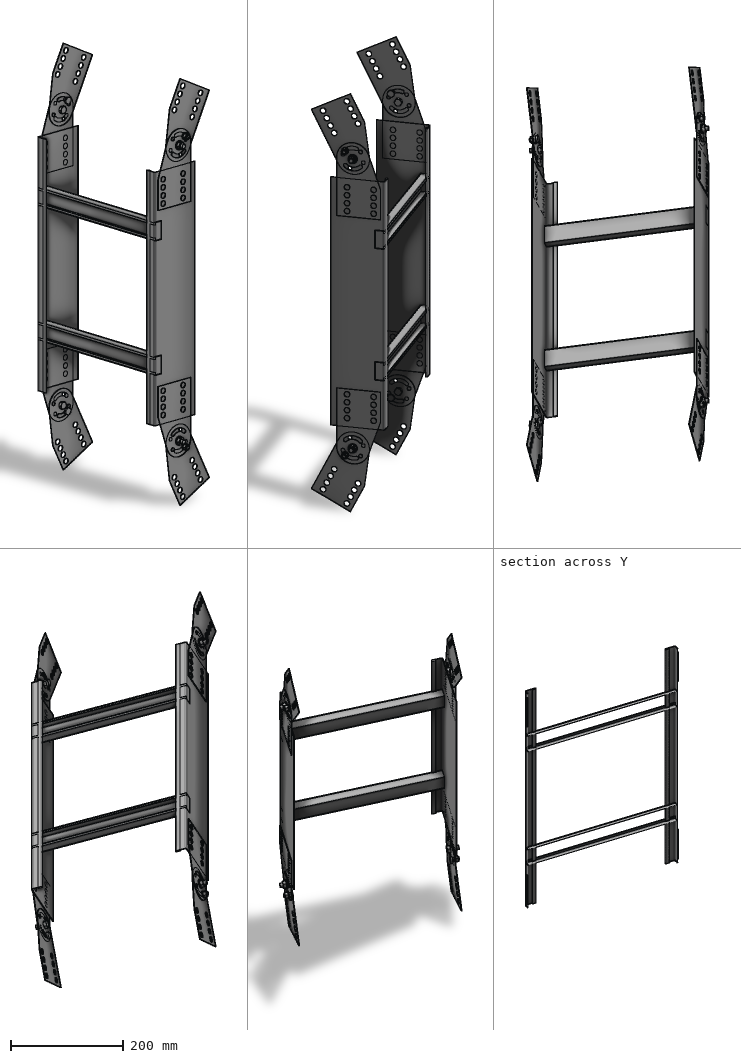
import cadquery as cq
import math

height = 794.5
depth = 136.0
width = 329.0
rail_sheet = 1.5
plate_sheet = 1.5

rail_length = 472.0
rail_depth = 100.0
rail_span = 300.0
flange_width = 21.5
bend_radius = 3.0
hem_radius = 1.8
hem_width = 8.0

rung_spacing = 250.0
rung_height = 36.0
rung_depth = 17.5
rung_lip = 5.7
rung_corner = 1.75

pivot_radius = 30.0
plate_reach = 111.0
plate_side = 51.0
plate_side_length = 57.0
hinge_angle = 27.0

plate_hole = 10.0
hole_pitch = 15.0
hole_count = 4
end_hole_inset = 10.0
hole_columns = (11.0, -38.0)

swing_radius = 20.0
lock_hole = 7.0
slot_width = 7.0
lock_angle = 45.0

pivot_shaft = 8.0
pivot_washer = 17.0
pivot_hex = 13.0
pivot_head_height = 5.95
pivot_nut_height = 5.95
lock_shaft = 6.0
lock_washer = 13.0
lock_hex = 10.0
lock_head_diameter = 13.0
lock_head_height = 3.6
lock_nut_height = 5.95
lock_shaft_end = 161.0
washer_height = 1.75

front_y = -depth / 2
web_x = -rail_span / 2
flange_back_y = front_y + rail_sheet
tilt = math.radians(hinge_angle)
pivot_y = depth / 2 - plate_reach * math.sin(tilt) - pivot_radius * math.cos(tilt)
pivot_z = height / 2 - plate_reach * math.cos(tilt) - plate_side * math.sin(tilt)
lock_offset = swing_radius * math.sin(math.radians(lock_angle))


def make_left_rail():
    """L-section sheet whose flange ends in a closed, round-edged hem, extruded along Z."""
    back_y = front_y + rail_depth
    fold_x = web_x + flange_width - hem_radius
    fold_y = front_y + hem_radius
    hem_back_y = front_y + 2 * hem_radius
    hem_x = web_x + flange_width - hem_width
    bend_x = web_x + bend_radius
    bend_y = front_y + bend_radius
    outer_diagonal = bend_radius * math.sqrt(0.5)
    inner_diagonal = (bend_radius - rail_sheet) * math.sqrt(0.5)
    profile = (
        cq.Workplane("XY", origin=(0, 0, -rail_length / 2))
        .moveTo(web_x, back_y)
        .lineTo(web_x, bend_y)
        .threePointArc((bend_x - outer_diagonal, bend_y - outer_diagonal), (bend_x, front_y))
        .lineTo(fold_x, front_y)
        .threePointArc((fold_x + hem_radius, fold_y), (fold_x, hem_back_y))
        .lineTo(hem_x, hem_back_y)
        .lineTo(hem_x, flange_back_y)
        .lineTo(bend_x, flange_back_y)
        .threePointArc((bend_x - inner_diagonal, bend_y - inner_diagonal), (web_x + rail_sheet, bend_y))
        .lineTo(web_x + rail_sheet, back_y)
        .close()
    )
    return profile.extrude(rail_length)


def make_rung(center_z):
    """C-channel between the two webs, seated on the backs of the flanges."""
    length = rail_span - 2 * rail_sheet
    center_y = flange_back_y + rung_depth / 2
    outer = cq.Workplane("XY").box(length, rung_depth, rung_height).edges("|X").fillet(rung_corner)
    hollow = cq.Workplane("XY").box(length, rung_depth - 2 * rail_sheet, rung_height - 2 * rail_sheet)
    opening = cq.Workplane("XY").box(length, rung_depth, rung_height - 2 * rung_lip)
    opening = opening.translate((0, -rung_depth / 2, 0))
    return outer.cut(hollow).cut(opening).translate((0, center_y, center_z))


def make_frame():
    left_rail = make_left_rail()
    frame = left_rail.union(left_rail.mirror("YZ"))
    for side in (-1, 1):
        frame = frame.union(make_rung(side * rung_spacing / 2))
    return frame


def make_plate():
    """Plate with its pivot at the origin, extending toward -Z; its outer face lies in the YZ plane."""
    side_top = plate_side_length - plate_reach
    corner_angle = math.atan2(side_top, -plate_side)
    corner_distance = math.hypot(plate_side, side_top)
    tangent_angle = corner_angle - math.acos(pivot_radius / corner_distance)
    tangent_point = (pivot_radius * math.cos(tangent_angle), pivot_radius * math.sin(tangent_angle))
    arc_middle = tangent_angle % (2 * math.pi) / 2
    arc_point = (pivot_radius * math.cos(arc_middle), pivot_radius * math.sin(arc_middle))
    plate = (
        cq.Workplane("YZ")
        .moveTo(pivot_radius, 0)
        .lineTo(pivot_radius, -plate_reach)
        .lineTo(-plate_side, -plate_reach)
        .lineTo(-plate_side, side_top)
        .lineTo(*tangent_point)
        .threePointArc(arc_point, (pivot_radius, 0))
        .close()
        .extrude(plate_sheet)
    )
    fixing_points = []
    for column_y in hole_columns:
        for row in range(hole_count):
            fixing_points.append((column_y, end_hole_inset + row * hole_pitch - plate_reach))
    fixing_holes = cq.Workplane("YZ").pushPoints(fixing_points).circle(plate_hole / 2).extrude(plate_sheet)
    lock_points = [(lock_offset, lock_offset), (-lock_offset, lock_offset)]
    lock_holes = cq.Workplane("YZ").pushPoints(lock_points).circle(lock_hole / 2).extrude(plate_sheet)
    return plate.cut(fixing_holes).cut(lock_holes).cut(make_swing_slot())


def make_swing_slot():
    """Arc slot around the pivot with round ends."""
    inner = swing_radius - slot_width / 2
    outer = swing_radius + slot_width / 2
    diagonal = math.sin(math.radians(lock_angle))
    slot = (
        cq.Workplane("YZ")
        .moveTo(-outer * diagonal, -outer * diagonal)
        .threePointArc((0, -outer), (outer * diagonal, -outer * diagonal))
        .lineTo(inner * diagonal, -inner * diagonal)
        .threePointArc((0, -inner), (-inner * diagonal, -inner * diagonal))
        .close()
        .extrude(plate_sheet)
    )
    end_points = [(-lock_offset, -lock_offset), (lock_offset, -lock_offset)]
    ends = cq.Workplane("YZ").pushPoints(end_points).circle(slot_width / 2).extrude(plate_sheet)
    return slot.union(ends)


def make_disc(diameter, start_x, end_x):
    return cq.Workplane("YZ", origin=(start_x, 0, 0)).circle(diameter / 2).extrude(end_x - start_x)


def make_hex(across_flats, start_x, end_x):
    """Hexagonal prism along X with two flats facing +Z and -Z and its corners chamfered at both ends."""
    across_corners = across_flats / math.cos(math.pi / 6)
    prism = cq.Workplane("YZ", origin=(start_x, 0, 0)).polygon(6, across_corners).extrude(end_x - start_x)
    corner_chamfer = (across_corners - across_flats) / 2
    trim = make_disc(across_corners, start_x, end_x).faces("|X").chamfer(corner_chamfer)
    return prism.intersect(trim)


def make_pivot_bolt():
    """Bolt along X with its hex head inside the plates, washer and nut outside; x = 0 is the joint."""
    washer_x = -plate_sheet - washer_height
    head = make_hex(pivot_hex, plate_sheet, plate_sheet + pivot_head_height)
    washer = make_disc(pivot_washer, washer_x, -plate_sheet)
    nut = make_hex(pivot_hex, washer_x - pivot_nut_height, washer_x)
    shaft = make_disc(pivot_shaft, -width / 2 - web_x, plate_sheet)
    return shaft.union(head).union(washer).union(nut)


def make_lock_bolt():
    """Bolt along X with its round head inside the plates, washer and nut outside; x = 0 is the joint."""
    washer_x = -plate_sheet - washer_height
    head = make_disc(lock_head_diameter, plate_sheet, plate_sheet + lock_head_height)
    washer = make_disc(lock_washer, washer_x, -plate_sheet)
    nut = make_hex(lock_hex, washer_x - lock_nut_height, washer_x)
    shaft = make_disc(lock_shaft, -lock_shaft_end - web_x, plate_sheet + lock_head_height)
    return shaft.union(head).union(washer).union(nut)


def make_hinge():
    """Upper left hinge: a plate on the outside of the web, a swung plate behind it and two bolts."""
    rail_plate = make_plate().translate((-plate_sheet, 0, 0))
    swung_plate = make_plate().mirror("XY", (0, 0, 0)).rotate((0, 0, 0), (1, 0, 0), -hinge_angle)
    lock_bolt = make_lock_bolt().translate((0, lock_offset, lock_offset))
    hinge = rail_plate.union(swung_plate).union(make_pivot_bolt()).union(lock_bolt)
    return hinge.translate((web_x, pivot_y, pivot_z))


def make_hinges():
    """One hinge at each end of each rail, mirrored left to right and top to bottom."""
    upper_left = make_hinge()
    hinges = []
    for upper in (upper_left, upper_left.mirror("YZ")):
        hinges.append(upper)
        hinges.append(upper.mirror("XY"))
    return hinges


frame = make_frame()
hinges = make_hinges()
result = cq.Compound.makeCompound([frame.val(), *[hinge.val() for hinge in hinges]])